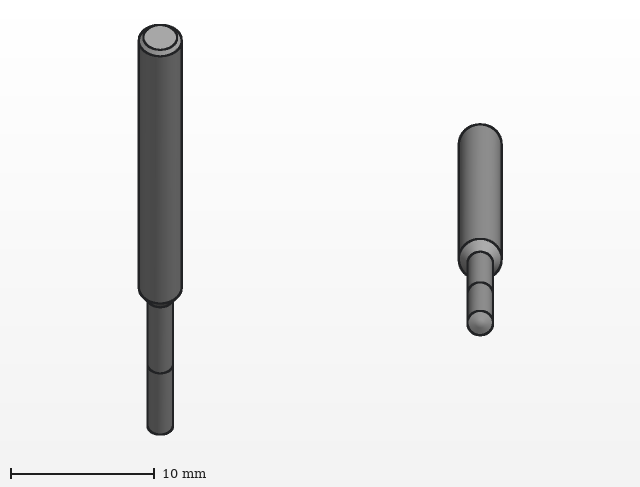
import cadquery as cq
import math

total_length = 40.0
shank_diameter = 3.0
neck_diameter = 1.8
shank_radius = shank_diameter / 2
neck_radius = neck_diameter / 2

tip_top = 6.6
point_height = 0.3

taper_bottom = 13.35
taper_half_angle = 30.0
taper_height = (shank_radius - neck_radius) / math.tan(math.radians(taper_half_angle))
taper_top = taper_bottom + taper_height
chamfer_size = 0.3


def make_shank():
    """Chamfered shank tapering down to a slender neck, as one turned solid."""
    profile = (
        cq.Workplane("YZ")
        .moveTo(0, tip_top)
        .lineTo(-neck_radius, tip_top)
        .lineTo(-neck_radius, taper_bottom)
        .lineTo(-shank_radius, taper_top)
        .lineTo(-shank_radius, total_length - chamfer_size)
        .lineTo(-shank_radius + chamfer_size, total_length)
        .lineTo(0, total_length)
        .close()
    )
    return profile.revolve(360, (0, 0, 0), (0, 1, 0))


def make_tip():
    """Cylindrical cutting tip with a shallow conical point, butted to the neck."""
    profile = (
        cq.Workplane("XZ")
        .moveTo(0, 0)
        .lineTo(-neck_radius, point_height)
        .lineTo(-neck_radius, tip_top)
        .lineTo(0, tip_top)
        .close()
    )
    return profile.revolve(360, (0, 0, 0), (0, 1, 0))


shank = make_shank()
tip = make_tip()

result = cq.Compound.makeCompound([shank.val(), tip.val()])